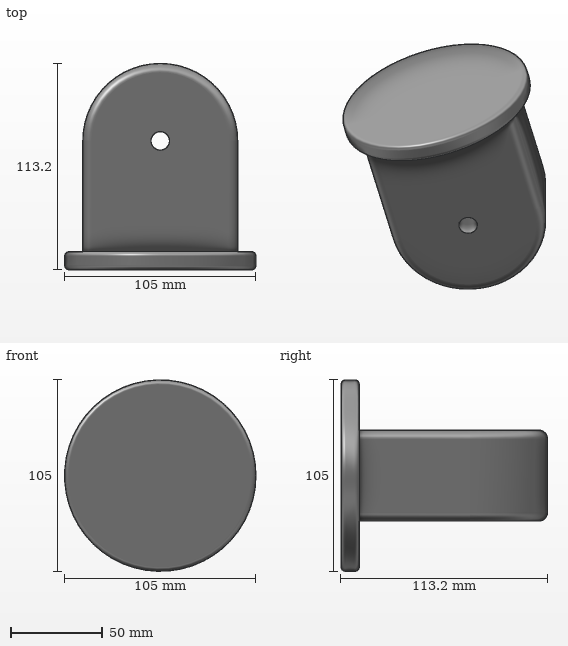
import cadquery as cq

flange_diameter = 105.0
flange_thickness = 10.0
flange_edge_radius = 2.5

overall_length = 113.2
tongue_width = 85.0
tongue_thickness = 50.0
tongue_edge_radius = 5.0

hole_diameter = 10.0

end_radius = tongue_width / 2
end_center_y = overall_length - end_radius


def make_flange():
    """Disc with both rims rounded, its outer face at Y = 0."""
    disc = cq.Workplane("XZ").circle(flange_diameter / 2).extrude(-flange_thickness)
    return disc.edges().fillet(flange_edge_radius)


def make_tongue():
    """Plate with a semicircular end and rounded top and bottom edges.

    It starts inside the flange, at mid-thickness, so the two bodies overlap.
    """
    root_y = flange_thickness / 2
    plate = (
        cq.Workplane("XY")
        .workplane(offset=-tongue_thickness / 2)
        .moveTo(-end_radius, root_y)
        .lineTo(-end_radius, end_center_y)
        .threePointArc((0, overall_length), (end_radius, end_center_y))
        .lineTo(end_radius, root_y)
        .close()
        .extrude(tongue_thickness)
    )
    return plate.faces("<Z or >Z").edges("not <Y").fillet(tongue_edge_radius)


def make_hole():
    """Cutter for the hole through the full thickness of the tongue."""
    return (
        cq.Workplane("XY")
        .center(0, end_center_y)
        .circle(hole_diameter / 2)
        .extrude(tongue_thickness, both=True)
    )


result = make_flange().union(make_tongue()).cut(make_hole())